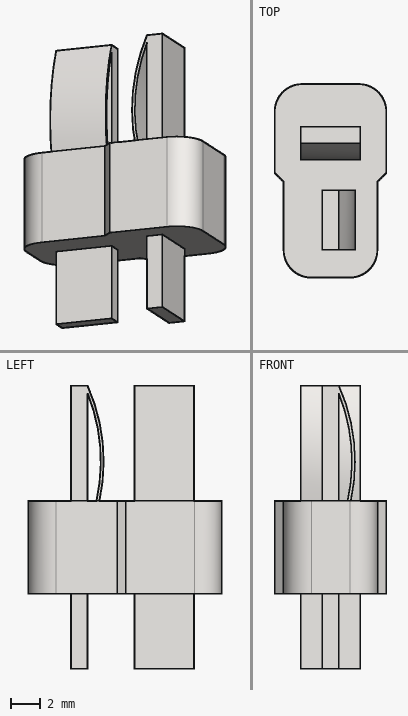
import cadquery as cq
import math

housing_length = 13.2
wide_width = 7.62
narrow_width = 6.4
corner_radius = 1.9
wide_length = 6.06
shoulder_taper = (wide_width - narrow_width) / 2

total_height = 19.3
housing_bottom = 5.11
housing_top = 11.45

blade_thickness = 1.14
blade_width = 4.07
rear_blade_inset = 2.91
front_blade_inset = corner_radius

spring_thickness = 0.21
spring_mid_offset = 1.05
spring_foot_offset = 0.81


def make_housing():
    y_rear = housing_length / 2
    y_front = -y_rear
    y_shoulder = y_rear - wide_length
    wide = wide_width / 2
    narrow = narrow_width / 2
    outline = [
        (-wide, y_rear),
        (wide, y_rear),
        (wide, y_shoulder),
        (narrow, y_shoulder - shoulder_taper),
        (narrow, y_front),
        (-narrow, y_front),
        (-narrow, y_shoulder - shoulder_taper),
        (-wide, y_shoulder),
    ]
    block = (
        cq.Workplane("XY", origin=(0, 0, housing_bottom))
        .polyline(outline)
        .close()
        .extrude(housing_top - housing_bottom)
    )
    block = block.faces(">Y").edges("|Z").fillet(corner_radius)
    return block.faces("<Y").edges("|Z").fillet(corner_radius)


def make_spring():
    """Curved strip on the +X face of a blade, between its tip and the housing."""
    face_x = blade_thickness / 2
    height = total_height - housing_top
    half_height = height / 2

    u_mid = spring_mid_offset
    u_foot = spring_foot_offset
    tip_term = half_height**2 - u_mid**2
    foot_term = u_foot**2 + tip_term
    center_u = (tip_term + foot_term) / (2 * (u_foot - 2 * u_mid))
    center_v = (tip_term + 2 * u_mid * center_u) / (2 * half_height)
    outer_radius = math.hypot(center_u, half_height - center_v)

    ring = (
        cq.Workplane("XZ", origin=(0, blade_width / 2, 0))
        .center(face_x + center_u, housing_top + half_height + center_v)
        .circle(outer_radius)
        .circle(outer_radius - spring_thickness)
        .extrude(blade_width)
    )
    window = cq.Workplane("XY", origin=(face_x, 0, housing_top)).box(
        2 * spring_mid_offset, blade_width, height, centered=(False, True, False)
    )
    return ring.intersect(window)


def make_contact():
    blade = cq.Workplane("XY").box(
        blade_thickness, blade_width, total_height, centered=(True, True, False)
    )
    return blade.union(make_spring())


contact = make_contact()
rear_y = housing_length / 2 - rear_blade_inset - blade_thickness / 2
front_y = -housing_length / 2 + front_blade_inset + blade_width / 2

front_contact = contact.translate((0, front_y, 0))
rear_contact = contact.rotate((0, 0, 0), (0, 0, 1), -90).translate((0, rear_y, 0))

result = make_housing().union(front_contact).union(rear_contact)